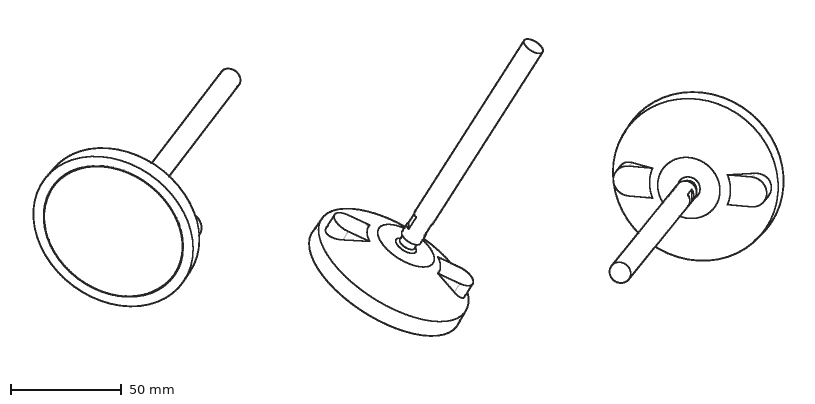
import cadquery as cq

TOTAL_LENGTH = 140.0

SOLE_RADIUS = 78.0 / 2
RIM_TOP_RADIUS = 38.6
RIM_HEIGHT = 8.4
HUB_RADIUS = 14.5
BASE_HEIGHT = 20.0

PAD_RADIUS = 67.5 / 2
RECESS_RADIUS = 68.0 / 2
GROOVE_DEPTH = 1.0

LUG_WIDTH = 14.3
LUG_CENTER_X = 28.7
LUG_TOP = 17.9

STEM_RADIUS = 10.0 / 2
NECK_RADIUS = 7.8 / 2
FLARE_RADIUS = 10.5 / 2
NECK_START = 21.1
STEM_START = 24.9

FLATS_START = 29.8
FLATS_LENGTH = 7.0
ACROSS_FLATS = 8.0


def make_base():
    """Conical base plate with a slightly tapered rim."""
    profile = [
        (0, 0),
        (SOLE_RADIUS, 0),
        (RIM_TOP_RADIUS, RIM_HEIGHT),
        (HUB_RADIUS, BASE_HEIGHT),
        (0, BASE_HEIGHT),
    ]
    return cq.Workplane("XY").polyline(profile).close().revolve(360, (0, 0), (0, 1))


def make_lugs():
    """One obround bar across the base; its two ends stand out of the cone."""
    bar_bottom = RIM_HEIGHT / 2
    return (
        cq.Workplane("XZ", origin=(0, bar_bottom, 0))
        .slot2D(2 * LUG_CENTER_X + LUG_WIDTH, LUG_WIDTH)
        .extrude(bar_bottom - LUG_TOP)
    )


def make_stem():
    """Turned stem with a flared foot and a reduced neck."""
    profile = [
        (0, BASE_HEIGHT),
        (FLARE_RADIUS, BASE_HEIGHT),
        (NECK_RADIUS, NECK_START),
        (NECK_RADIUS, STEM_START),
        (STEM_RADIUS, STEM_START),
        (STEM_RADIUS, TOTAL_LENGTH),
        (0, TOTAL_LENGTH),
    ]
    return cq.Workplane("XY").polyline(profile).close().revolve(360, (0, 0), (0, 1))


def make_flat_cutter(side):
    """Block that removes the stem beyond one wrench flat."""
    cutter_center = side * (ACROSS_FLATS / 2 + STEM_RADIUS / 2)
    return cq.Workplane("XY").box(STEM_RADIUS, FLATS_LENGTH, 2 * STEM_RADIUS).translate(
        (cutter_center, FLATS_START + FLATS_LENGTH / 2, 0)
    )


def make_pad_groove():
    """Ring that separates the pad from the surrounding sole."""
    return cq.Workplane("XZ").circle(RECESS_RADIUS).circle(PAD_RADIUS).extrude(-GROOVE_DEPTH)


stem = make_stem()
for side in (-1, 1):
    stem = stem.cut(make_flat_cutter(side))

result = make_base().union(make_lugs()).union(stem).cut(make_pad_groove())